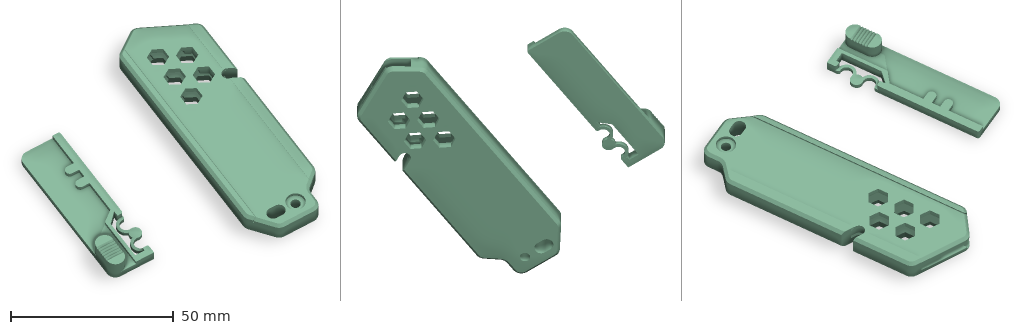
import cadquery as cq
import math

LENGTH = 87.8
WIDTH = 28.3
HEIGHT = 7.3
HOUSING_Y = 44.6
CORNER_RADIUS = 3.0
CHAMFER = 1.0
REACH = 17.6

TIP_Y = 9.7
TIP_UPPER_ANGLE = math.radians(62.3)
TIP_LOWER_ANGLE = math.radians(54.2)
TAIL_Y = 22.3
SHOULDER_START_X = 75.1
SHOULDER_END_X = 80.1
LOWER_CUT_X = 78.8
LOWER_CUT_Y = 7.0

LID_THICKNESS = 2.0
LID_BOTTOM = HEIGHT - LID_THICKNESS
DOVETAIL = 1.0
LID_LOWER_Y = 1.85
LID_UPPER_Y = 25.1
LID_DROP = 0.2
LID_PLAY = 0.3

CAVITY_LOWER_Y = 3.4
CAVITY_UPPER_Y = 18.8
CAVITY_END_X = 77.3
FLOOR_STEP_Y = 10.3
LOW_FLOOR = 1.5
HIGH_FLOOR = 2.4

CHANNEL_END_X = 35.1
CHANNEL_END_SHIFT = 4.6
RIB_BOTTOM = 3.6

HEX_FLATS = 6.0
HEX_PITCH = 9.0
HEX_FIRST_X = 13.5
HEX_FIRST_Y = 9.8
HEX_TURN = math.radians(2.3)
NOTCH_WIDTH = 3.7
NOTCH_X = 30.2
NOTCH_Y = 24.5
SCREW_X = 82.3
SCREW_Y = 16.2
SCREW_DIAMETER = 3.2
HEAD_DIAMETER = 6.2
HEAD_DEPTH = 1.1
SLOT_Y = 9.05
SLOT_WIDTH = 4.1
SLOT_LENGTH = 6.2

SLED_X = 18.9
SLED_LENGTH = 54.0
SLED_END_X = SLED_X + SLED_LENGTH
SLED_WIDTH = 15.2
SLED_CORNER = 0.7
PLATE_TOP = 2.0
STEP_TOP = 2.3
RAIL_TOP = 3.4
RAIL_Y = 12.6
RAIL_SLOPE_X = 52.1
FRAME_Y = 8.6
STEP_Y = 3.1
STEP_SLOPE_X = 59.4

LUG_WIDTH = 3.0
LUG_PITCH = 6.0
LUG_FIRST_X = 32.7
LUG_TIP_Y = 8.6

WINDOW_LOWER_Y = 9.75
WINDOW_UPPER_Y = 13.2
WINDOW_START_X = 53.2
WINDOW_END_X = 70.7

SPRING_HEIGHT = 1.5
BUMP_DIAMETER = 4.1
BUMP_X = 62.35
BUMP_Y = 15.1
LOOP_INNER = 4.1
LOOP_OUTER = 6.2
LOOP_OFFSET = 4.08
LOOP_Y = 14.3

PAD_LENGTH = 12.0
PAD_WIDTH = 6.0
PAD_TOP = 6.9
GRIP_COUNT = 6


def block(x0, x1, y0, y1, z0, z1):
    """Box between two corners."""
    return cq.Workplane("XY").box(x1 - x0, y1 - y0, z1 - z0, centered=False).translate((x0, y0, z0))


def prism(points, z0, z1):
    """Polygon in plan, extruded from z0 to z1."""
    return cq.Workplane("XY").workplane(offset=z0).polyline(points).close().extrude(z1 - z0)


def cylinder(x, y, diameter, z0, z1):
    return cq.Workplane("XY").workplane(offset=z0).center(x, y).circle(diameter / 2).extrude(z1 - z0)


def outline_points():
    """Sharp corners of the outline; the rounded tip touches X = 0."""
    upper_normal = (-math.sin(TIP_UPPER_ANGLE), math.cos(TIP_UPPER_ANGLE))
    lower_normal = (-math.sin(TIP_LOWER_ANGLE), -math.cos(TIP_LOWER_ANGLE))
    dot = upper_normal[0] * lower_normal[0] + upper_normal[1] * lower_normal[1]
    tip_x = CORNER_RADIUS + CORNER_RADIUS * (upper_normal[0] + lower_normal[0]) / (1 + dot)
    tip_y = TIP_Y + CORNER_RADIUS * (upper_normal[1] + lower_normal[1]) / (1 + dot)
    return [
        (tip_x, tip_y),
        (tip_x + tip_y / math.tan(TIP_LOWER_ANGLE), 0),
        (LOWER_CUT_X, 0),
        (LENGTH, LOWER_CUT_Y),
        (LENGTH, TAIL_Y),
        (SHOULDER_END_X, TAIL_Y),
        (SHOULDER_START_X, WIDTH),
        (tip_x + (WIDTH - tip_y) / math.tan(TIP_UPPER_ANGLE), WIDTH),
    ]


def rounded_outline(z0, z1):
    return prism(outline_points(), z0, z1).edges("|Z").fillet(CORNER_RADIUS)


def dovetail_band(lower_y, upper_y, top):
    """Bar along X under `top`, as wide as the lid and narrowing towards its upper side."""
    neck = top - DOVETAIL
    profile = [
        (lower_y, LID_BOTTOM),
        (upper_y, LID_BOTTOM),
        (upper_y, neck),
        (upper_y - DOVETAIL, top),
        (lower_y + DOVETAIL, top),
        (lower_y, neck),
    ]
    bar = cq.Workplane("YZ").polyline(profile).close().extrude(LENGTH + 2 * REACH)
    return bar.translate((-REACH, 0, 0))


def sled_cavity():
    """Stepped cavity, open at the tip, with one rounded end corner."""
    upper = block(-REACH, CAVITY_END_X, CAVITY_LOWER_Y, CAVITY_UPPER_Y, HIGH_FLOOR, LID_BOTTOM)
    upper = upper.edges("|Z and >X and >Y").fillet(CORNER_RADIUS)
    lower = block(-REACH, CAVITY_END_X, CAVITY_LOWER_Y, FLOOR_STEP_Y, LOW_FLOOR, LID_BOTTOM)
    return upper.union(lower)


def side_channel(z0, z1):
    """Channel along the upper side of the cavity, open at the tip and ending in a sloped wall."""
    points = [
        (-REACH, CAVITY_UPPER_Y),
        (CHANNEL_END_X, CAVITY_UPPER_Y),
        (CHANNEL_END_X + CHANNEL_END_SHIFT, LID_UPPER_Y),
        (-REACH, LID_UPPER_Y),
    ]
    return prism(points, z0, z1)


def hexagon_holes():
    """Two staggered rows of hexagonal holes, the pattern turned slightly about its first hole."""
    holes = cq.Workplane("XY")
    corners = HEX_FLATS / math.cos(math.pi / 6)
    for row, count in ((0, 3), (1, 2)):
        for column in range(count):
            along = HEX_PITCH * (column + row / 2)
            across = HEX_PITCH * row * math.sin(math.pi / 3)
            x = HEX_FIRST_X + along * math.cos(HEX_TURN) - across * math.sin(HEX_TURN)
            y = HEX_FIRST_Y + along * math.sin(HEX_TURN) + across * math.cos(HEX_TURN)
            hole = cq.Workplane("XY").center(x, y).polygon(6, corners).extrude(HEIGHT)
            holes = holes.add(hole)
    return holes.combine()


def edge_notch():
    """Round-bottomed notch in the upper edge, parallel to the upper side of the tip."""
    length = NOTCH_WIDTH + 2 * REACH
    slot = cq.Workplane("XY").slot2D(length, NOTCH_WIDTH).extrude(HEIGHT)
    slot = slot.translate(((length - NOTCH_WIDTH) / 2, 0, 0))
    slot = slot.rotate((0, 0, 0), (0, 0, 1), math.degrees(TIP_UPPER_ANGLE))
    return slot.translate((NOTCH_X, NOTCH_Y, 0))


def through_openings():
    """Screw hole, lanyard slot, edge notch and hexagonal holes."""
    lanyard_slot = cq.Workplane("XY").center(SCREW_X, SLOT_Y).slot2D(SLOT_LENGTH, SLOT_WIDTH, 90)
    openings = cylinder(SCREW_X, SCREW_Y, SCREW_DIAMETER, 0, HEIGHT)
    for cutter in (lanyard_slot.extrude(HEIGHT), edge_notch(), hexagon_holes()):
        openings = openings.union(cutter)
    return openings


def make_housing():
    body = rounded_outline(0, HEIGHT).faces("<Z or >Z").edges().chamfer(CHAMFER)
    body = body.cut(dovetail_band(LID_LOWER_Y - LID_PLAY, LID_UPPER_Y, HEIGHT))
    body = body.cut(sled_cavity())
    body = body.cut(side_channel(HIGH_FLOOR, LID_BOTTOM))
    body = body.cut(through_openings())
    return body.translate((0, HOUSING_Y, 0))


def make_lid():
    top = HEIGHT - LID_DROP
    plate = rounded_outline(LID_BOTTOM, top).faces(">Z").edges().chamfer(CHAMFER)
    plate = plate.intersect(dovetail_band(LID_LOWER_Y, LID_UPPER_Y, top))
    rib = side_channel(RIB_BOTTOM, LID_BOTTOM).intersect(rounded_outline(0, HEIGHT))
    lid = plate.union(rib)
    lid = lid.cut(through_openings())
    lid = lid.cut(cylinder(SCREW_X, SCREW_Y, HEAD_DIAMETER, top - HEAD_DEPTH, HEIGHT))
    return lid.translate((0, HOUSING_Y, 0))


def slope_x(y):
    """X of the sloped edge between the rail and the step, at the given Y."""
    return RAIL_SLOPE_X + (STEP_SLOPE_X - RAIL_SLOPE_X) * (RAIL_Y - y) / (RAIL_Y - STEP_Y)


def raised_area(lower_y, top):
    """Rail and everything right of the sloped edge down to lower_y, up to the height `top`."""
    points = [
        (SLED_X, SLED_WIDTH),
        (SLED_X, RAIL_Y),
        (RAIL_SLOPE_X, RAIL_Y),
        (slope_x(lower_y), lower_y),
        (SLED_END_X, lower_y),
        (SLED_END_X, SLED_WIDTH),
    ]
    return prism(points, 0, top)


def lugs():
    """Round-ended lugs reaching from the rail over the plate."""
    both_lugs = cq.Workplane("XY")
    radius = LUG_WIDTH / 2
    for index in range(2):
        x = LUG_FIRST_X + index * LUG_PITCH
        bar = block(x - radius, x + radius, LUG_TIP_Y + radius, RAIL_Y, 0, RAIL_TOP)
        both_lugs = both_lugs.add(bar.union(cylinder(x, LUG_TIP_Y + radius, LUG_WIDTH, 0, RAIL_TOP)))
    return both_lugs.combine()


def spring_window():
    """Window below the spring, and the gap in the rail that the spring spans."""
    slope_run = WINDOW_UPPER_Y - WINDOW_LOWER_Y
    window = prism(
        [
            (WINDOW_START_X, WINDOW_UPPER_Y),
            (WINDOW_START_X + slope_run, WINDOW_LOWER_Y),
            (WINDOW_END_X, WINDOW_LOWER_Y),
            (WINDOW_END_X, WINDOW_UPPER_Y),
        ],
        0,
        RAIL_TOP,
    )
    half_gap = LOOP_OFFSET + LOOP_OUTER / 2
    gap = block(BUMP_X - half_gap, BUMP_X + half_gap, WINDOW_UPPER_Y, SLED_WIDTH, 0, RAIL_TOP)
    return window.union(gap)


def rail_gap_corners():
    """Upper corners of the rail on both sides of the spring gap."""
    half_gap = LOOP_OFFSET + LOOP_OUTER / 2
    return [(BUMP_X - half_gap, SLED_WIDTH, RAIL_TOP / 2), (BUMP_X + half_gap, SLED_WIDTH, RAIL_TOP / 2)]


def spring():
    """Two hanging half loops joined by the detent bump."""
    body = cylinder(BUMP_X, BUMP_Y, BUMP_DIAMETER, 0, SPRING_HEIGHT)
    strip = (LOOP_OUTER - LOOP_INNER) / 2
    for side in (-1, 1):
        x = BUMP_X + side * LOOP_OFFSET
        ring = cylinder(x, LOOP_Y, LOOP_OUTER, 0, SPRING_HEIGHT)
        ring = ring.cut(cylinder(x, LOOP_Y, LOOP_INNER, 0, SPRING_HEIGHT))
        half = ring.intersect(block(x - REACH, x + REACH, LOOP_Y - REACH, LOOP_Y, 0, SPRING_HEIGHT))
        inner_x = x + side * LOOP_INNER / 2
        anchor_x = inner_x + side * (strip + SLED_CORNER)
        stem = block(min(inner_x, anchor_x), max(inner_x, anchor_x), LOOP_Y, SLED_WIDTH, 0, SPRING_HEIGHT)
        stem = stem.edges("|Z and >Y").edges(">X" if side < 0 else "<X").fillet(SLED_CORNER)
        body = body.union(half).union(stem)
    return body


def thumb_pad():
    """Stadium-shaped pad with a row of V grooves across its straight part."""
    centre_x = SLED_END_X - PAD_LENGTH / 2
    pad = cq.Workplane("XY").center(centre_x, PAD_WIDTH / 2).slot2D(PAD_LENGTH, PAD_WIDTH).extrude(PAD_TOP)
    grip_length = PAD_LENGTH - PAD_WIDTH
    pitch = grip_length / GRIP_COUNT
    for index in range(GRIP_COUNT):
        x = centre_x - grip_length / 2 + index * pitch
        points = [(x, PAD_TOP), (x + pitch, PAD_TOP), (x + pitch / 2, PAD_TOP - pitch / 2)]
        groove = cq.Workplane("XZ").polyline(points).close().extrude(-PAD_WIDTH)
        pad = pad.cut(groove)
    return pad


def make_sled():
    body = block(SLED_X, SLED_END_X, 0, SLED_WIDTH, 0, PLATE_TOP)
    body = body.union(raised_area(STEP_Y, STEP_TOP))
    body = body.union(raised_area(FRAME_Y, RAIL_TOP))
    body = body.edges("|Z and <Y").fillet(PAD_WIDTH / 2)
    body = body.edges("|Z and <X and >Y").fillet(SLED_CORNER)
    body = body.union(lugs())
    body = body.cut(spring_window())
    for corner in rail_gap_corners():
        body = body.edges(cq.selectors.NearestToPointSelector(corner)).fillet(SLED_CORNER)
    body = body.union(spring())
    return body.union(thumb_pad())


housing = make_housing()
lid = make_lid()
sled = make_sled()
result = cq.Compound.makeCompound([housing.val(), lid.val(), sled.val()])